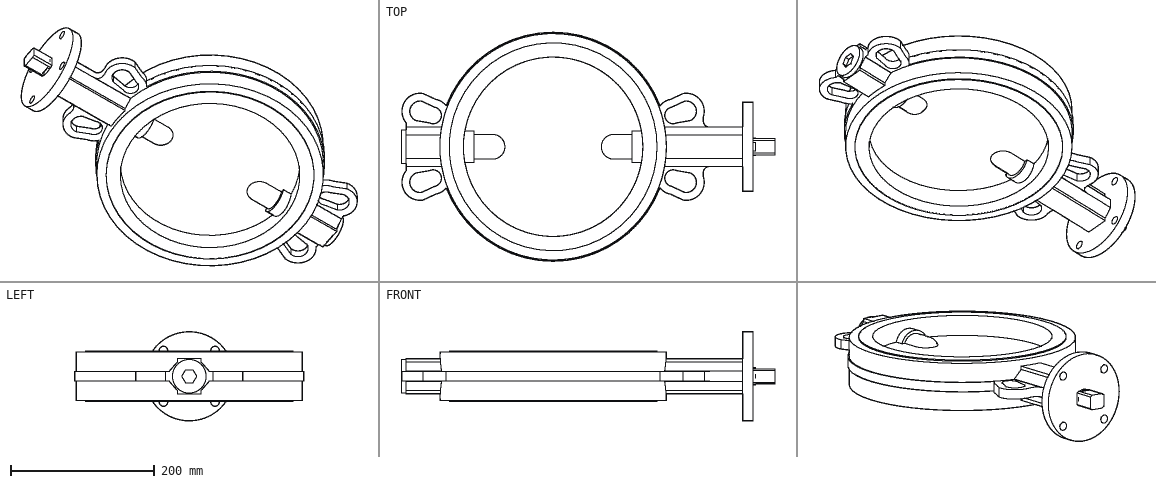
import cadquery as cq
import math


body_radius = 158.0
body_half_height = 34.0
seat_radius = 145.0
seat_half_height = 35.5
band_radius = 320.0 / 2
band_half_height = 7.0
bore_radius = 125.5
disc_half_thickness = 7.0

pin_radius = 37.0 / 2
pin_dome_center = 84.5
pin_collar_radius = 23.0
pin_collar_start = 110.0
pin_root = 133.0

neck_half_width = 27.5
neck_side_half_height = 7.5
neck_top_half_width = 16.5
neck_shoulder_height = 20.0
neck_half_height = 24.5
neck_root = 141.0
neck_left_end = -205.0

cap_radius = 23.5
cap_end = -212.0
socket_across_corners = 21.0
socket_depth = 6.5

flange_radius = 125.0 / 2
flange_start = 264.5
flange_end = 279.5
flange_hole_radius = 6.0
flange_hole_spacing = 72.0

shaft_end = 310.0
shaft_width = 23.5
shaft_height = 21.0
shaft_bevel_width = 3.0
shaft_bevel_height = 2.0
shaft_collar_radius = 12.0
shaft_collar_length = 3.5

eye_outer_x = 186.0
eye_outer_y = 49.5
eye_outer_radius = 14.0
eye_inner_x = 167.5
eye_inner_y = 44.0
eye_inner_radius = 11.5
lug_rim_radius = 50.5 / 2
lug_wall = lug_rim_radius - eye_outer_radius
lug_half_thickness = band_half_height
lug_right_end = 210.0
lug_right_fillet = 8.5


def disk(radius, half_height):
    """Cylinder about Z, centred on the XY plane."""
    return cq.Workplane("XY").circle(radius).extrude(half_height, both=True)


def rod(radius, start, end):
    """Cylinder along X between two positions."""
    return cq.Workplane("YZ", origin=(start, 0, 0)).circle(radius).extrude(end - start)


def symmetric_bar(quarter, start, end):
    """Prism along X; the YZ outline is one quarter, mirrored about both axes."""
    upper = quarter + [(-y, z) for y, z in reversed(quarter)]
    outline = upper + [(-y, -z) for y, z in upper]
    return cq.Workplane("YZ", origin=(start, 0, 0)).polyline(outline).close().extrude(end - start)


def make_ring():
    ring = disk(body_radius, body_half_height)
    ring = ring.union(disk(seat_radius, seat_half_height))
    ring = ring.union(disk(band_radius, band_half_height))
    return ring.cut(disk(bore_radius, seat_half_height))


def make_pin():
    """Round-nosed pin on the +X side of the disc."""
    dome = cq.Workplane("XY").sphere(pin_radius).translate((pin_dome_center, 0, 0))
    pin = rod(pin_radius, pin_dome_center, pin_root).union(dome)
    return pin.union(rod(pin_collar_radius, pin_collar_start, pin_root))


def make_neck(start, end):
    quarter = [
        (neck_half_width, neck_side_half_height),
        (neck_top_half_width, neck_shoulder_height),
        (neck_top_half_width, neck_half_height),
    ]
    return symmetric_bar(quarter, start, end)


def make_socket():
    return (
        cq.Workplane("YZ", origin=(cap_end, 0, 0))
        .polygon(6, socket_across_corners)
        .extrude(socket_depth)
    )


def make_flange():
    holes = (
        cq.Workplane("YZ", origin=(flange_start, 0, 0))
        .rect(flange_hole_spacing, flange_hole_spacing, forConstruction=True)
        .vertices()
        .circle(flange_hole_radius)
        .extrude(flange_end - flange_start)
    )
    return rod(flange_radius, flange_start, flange_end).cut(holes)


def make_shaft():
    half_width = shaft_width / 2
    half_height = shaft_height / 2
    quarter = [
        (half_width, half_height - shaft_bevel_height),
        (half_width - shaft_bevel_width, half_height),
    ]
    shaft = symmetric_bar(quarter, flange_end, shaft_end)
    return shaft.union(rod(shaft_collar_radius, flange_end, flange_end + shaft_collar_length))


def polar_point(x, y, radius, angle):
    return (x + radius * math.cos(angle), y + radius * math.sin(angle))


def make_eye(offset):
    """Two circles of the lug eye, grown by an offset and joined by their outer tangents."""
    outer_radius = eye_outer_radius + offset
    inner_radius = eye_inner_radius + offset
    run = eye_outer_x - eye_inner_x
    rise = eye_outer_y - eye_inner_y
    axis_angle = math.atan2(rise, run)
    spread = math.acos((outer_radius - inner_radius) / math.hypot(run, rise))

    def on_outer(angle):
        return polar_point(eye_outer_x, eye_outer_y, outer_radius, angle)

    def on_inner(angle):
        return polar_point(eye_inner_x, eye_inner_y, inner_radius, angle)

    return (
        cq.Workplane("XY")
        .moveTo(*on_outer(axis_angle - spread))
        .threePointArc(on_outer(axis_angle), on_outer(axis_angle + spread))
        .lineTo(*on_inner(axis_angle + spread))
        .threePointArc(on_inner(axis_angle + math.pi), on_inner(axis_angle - spread))
        .close()
        .extrude(lug_half_thickness, both=True)
    )


def make_lug(end, fillet):
    """Lug in the +X +Y quadrant; its web drops at x = end onto the neck."""
    web_top = eye_outer_y - math.sqrt(lug_rim_radius**2 - (end - eye_outer_x) ** 2)
    web = cq.Workplane("XY").moveTo(eye_outer_x, 0).lineTo(end + fillet, 0)
    if fillet > 0:
        web = (
            web.lineTo(end + fillet, neck_half_width)
            .radiusArc((end, neck_half_width + fillet), fillet)
        )
    web = (
        web.lineTo(end, web_top)
        .lineTo(eye_outer_x, eye_outer_y)
        .close()
        .extrude(lug_half_thickness, both=True)
    )
    return make_eye(lug_wall).union(web).cut(make_eye(0))


right_lug = make_lug(lug_right_end, lug_right_fillet)
left_lug = make_lug(-neck_left_end, 0).mirror("YZ")
pin = make_pin()

result = make_ring().union(disk(bore_radius, disc_half_thickness))
for feature in (
    pin,
    pin.mirror("YZ"),
    right_lug,
    right_lug.mirror("XZ"),
    left_lug,
    left_lug.mirror("XZ"),
    make_neck(neck_left_end, -neck_root),
    make_neck(neck_root, flange_start),
    rod(cap_radius, cap_end, neck_left_end),
    make_flange(),
    make_shaft(),
):
    result = result.union(feature)
result = result.cut(make_socket())